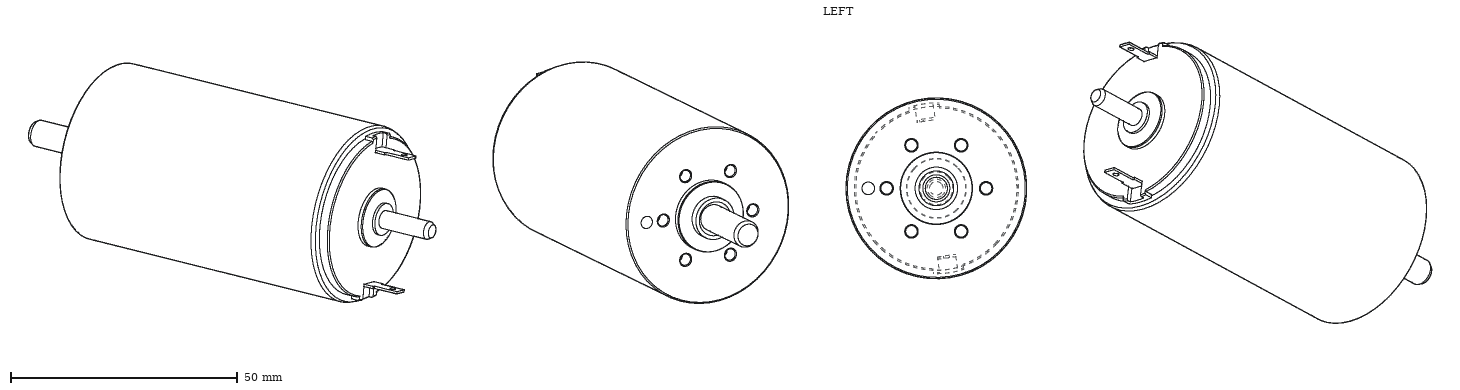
import cadquery as cq
import math


body_radius = 19.99
can_length = 68.5
front_edge_chamfer = 0.3
rear_chamfer_length = 1.0
rear_chamfer_height = 0.3
ring_radius = 8.0
ring_length = 1.6
ring_chamfer_length = 0.3
ring_chamfer_height = 0.1
boss_radius = 4.7
boss_end = 3.5
bore_mouth_radius = 3.8
bore_mouth_depth = 1.1

mount_hole_count = 6
mount_circle_radius = 11.0
mount_hole_radius = 1.3
mount_hole_chamfer = 0.2
mount_hole_depth = 4.3
dimple_offset = 15.0
dimple_radius = 1.4
dimple_angle = 118

cap_radius = 18.1
cap_end = 71.0
cap_edge_chamfer = 0.3
rear_ring_radius = 6.6
rear_ring_end = 72.2
pad_radius = 18.9
pad_start = 68.9
pad_width = 6.7
pocket_start = 69.9
pocket_width = 4.0

terminal_tilt = -8.5
terminal_angles = (terminal_tilt, terminal_tilt + 180)
terminal_underside = 15.0
terminal_thickness = 0.5
terminal_root_width = 3.8
terminal_shoulder = 73.3
blade_width = 2.9
blade_end = 79.4
eyelet_center = 77.3
eyelet_radius = 0.6

overall_length = 106.6
front_shaft_radius = 3.0
front_shaft_end = 20.3
rear_shaft_radius = 2.0
rear_shaft_end = overall_length - front_shaft_end
shaft_tip_length = 1.0
shaft_tip_height = 0.5
collar_radius = 3.6
collar_start = 72.8
collar_end = 73.5


def revolved(profile):
    """Turn an (x, radius) outline around the X axis."""
    return cq.Workplane("XY").polyline(profile).close().revolve(360, (0, 0, 0), (1, 0, 0))


def disc(radius, start, end):
    return cq.Workplane("YZ", origin=(start, 0, 0)).circle(radius).extrude(end - start)


def block(start, end, width, bottom, height):
    """Box along X, centered over the axis and standing on the height bottom."""
    middle = ((start + end) / 2, 0, bottom + height / 2)
    return cq.Workplane("XY").box(end - start, width, height).translate(middle)


def turned(shape, angle):
    return shape.rotate((0, 0, 0), (1, 0, 0), angle)


def mount_hole():
    mouth_radius = mount_hole_radius + mount_hole_chamfer
    return revolved([
        (0, 0),
        (0, mouth_radius),
        (mount_hole_chamfer, mount_hole_radius),
        (mount_hole_depth, mount_hole_radius),
        (mount_hole_depth, 0),
    ])


def dimple():
    """Plain cone with its mouth on the front face."""
    depth = dimple_radius / math.tan(math.radians(dimple_angle / 2))
    return revolved([(0, 0), (0, dimple_radius), (depth, 0)])


def make_housing():
    housing = revolved([
        (-boss_end, bore_mouth_radius),
        (-boss_end, boss_radius),
        (-ring_length, boss_radius),
        (-ring_length, ring_radius - ring_chamfer_height),
        (-ring_length + ring_chamfer_length, ring_radius),
        (0, ring_radius),
        (0, body_radius - front_edge_chamfer),
        (front_edge_chamfer, body_radius),
        (can_length - rear_chamfer_length, body_radius),
        (can_length, body_radius - rear_chamfer_height),
        (can_length, front_shaft_radius),
        (-boss_end + bore_mouth_depth, front_shaft_radius),
    ])
    for index in range(mount_hole_count):
        angle = math.radians(360 / mount_hole_count * index)
        center = (0, mount_circle_radius * math.cos(angle), mount_circle_radius * math.sin(angle))
        housing = housing.cut(mount_hole().translate(center))
    return housing.cut(dimple().translate((0, dimple_offset, 0)))


def make_pad():
    sector = block(pad_start, cap_end, pad_width, 0, pad_radius)
    return disc(pad_radius, pad_start, cap_end).intersect(sector)


def make_pocket():
    return block(pocket_start, cap_end, pocket_width, terminal_underside, pad_radius)


def make_terminal():
    root = block(
        pocket_start, terminal_shoulder, terminal_root_width, terminal_underside, terminal_thickness
    )
    blade = block(terminal_shoulder, blade_end, blade_width, terminal_underside, terminal_thickness)
    eyelet = (
        cq.Workplane("XY", origin=(eyelet_center, 0, terminal_underside))
        .circle(eyelet_radius)
        .extrude(terminal_thickness)
    )
    return root.union(blade).cut(eyelet)


def make_rear_cap():
    """Brush cap with its two terminals, half a turn apart."""
    cap = disc(cap_radius, can_length, cap_end)
    for angle in terminal_angles:
        cap = cap.union(turned(make_pad(), angle))
    cap = cap.faces(">X").edges("%CIRCLE").chamfer(cap_edge_chamfer)
    rear_ring = disc(rear_ring_radius, cap_end, rear_ring_end)
    rear_ring = rear_ring.faces(">X").chamfer(ring_chamfer_length, ring_chamfer_height)
    cap = cap.union(rear_ring)
    for angle in terminal_angles:
        cap = cap.cut(turned(make_pocket(), angle))
        cap = cap.union(turned(make_terminal(), angle))
    return cap.cut(disc(rear_shaft_radius, can_length, rear_ring_end))


def make_shaft():
    return revolved([
        (-front_shaft_end, 0),
        (-front_shaft_end, front_shaft_radius - shaft_tip_height),
        (-front_shaft_end + shaft_tip_length, front_shaft_radius),
        (can_length, front_shaft_radius),
        (can_length, rear_shaft_radius),
        (collar_start, rear_shaft_radius),
        (collar_start, collar_radius),
        (collar_end, collar_radius),
        (collar_end, rear_shaft_radius),
        (rear_shaft_end - shaft_tip_length, rear_shaft_radius),
        (rear_shaft_end, rear_shaft_radius - shaft_tip_height),
        (rear_shaft_end, 0),
    ])


housing = make_housing()
rear_cap = make_rear_cap()
shaft = make_shaft()

result = cq.Compound.makeCompound([housing.val(), rear_cap.val(), shaft.val()])